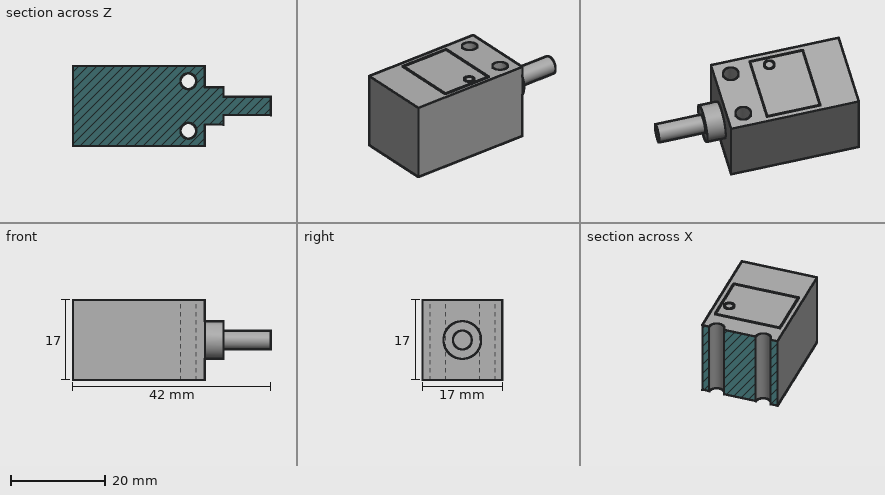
import cadquery as cq

body_length = 28.0
body_side = 17.0
top_z = body_side / 2

collar_diameter = 8.0
collar_length = 4.0
cable_diameter = 4.0
cable_length = 10.0

mount_hole_diameter = 3.3
mount_hole_spacing = 10.5
mount_hole_rear_inset = 3.5
mount_hole_x = body_length - mount_hole_rear_inset

groove_width = 0.1
groove_depth = 0.1
window_length = 11.7
window_width = 14.7
window_center_x = 14.0
indicator_diameter = 2.2
indicator_x = 16.0
indicator_y = -5.5


def make_body():
    return cq.Workplane("XY").box(body_length, body_side, body_side, centered=(False, True, True))


def make_rod(start_x, diameter, length):
    """Round rod along the X axis."""
    return cq.Workplane("YZ", origin=(start_x, 0, 0)).circle(diameter / 2).extrude(length)


def make_mount_holes():
    half_spacing = mount_hole_spacing / 2
    return (
        cq.Workplane("XY", origin=(mount_hole_x, 0, -top_z))
        .pushPoints([(0, -half_spacing), (0, half_spacing)])
        .circle(mount_hole_diameter / 2)
        .extrude(body_side)
    )


def make_window_groove():
    return (
        cq.Workplane("XY", origin=(window_center_x, 0, top_z))
        .rect(window_length, window_width)
        .rect(window_length - 2 * groove_width, window_width - 2 * groove_width)
        .extrude(-groove_depth)
    )


def make_indicator_groove():
    outer_radius = indicator_diameter / 2
    return (
        cq.Workplane("XY", origin=(indicator_x, indicator_y, top_z))
        .circle(outer_radius)
        .circle(outer_radius - groove_width)
        .extrude(-groove_depth)
    )


collar = make_rod(body_length, collar_diameter, collar_length)
cable = make_rod(body_length + collar_length, cable_diameter, cable_length)

result = (
    make_body()
    .union(collar)
    .union(cable)
    .cut(make_mount_holes())
    .cut(make_window_groove())
    .cut(make_indicator_groove())
)